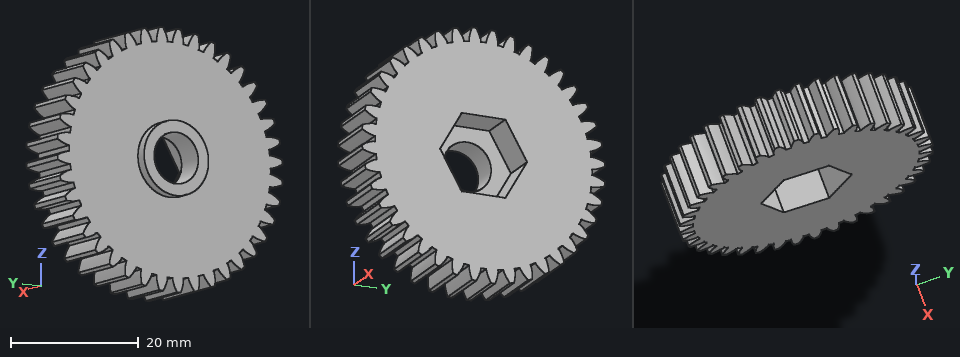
import cadquery as cq
import math

outer_size = 41.9
face_width = 9.0
hub_length = 1.8
hub_diameter = 12.0
bore_diameter = 8.17
hex_across_flats = 13.0
hex_floor_x = 3.0

tooth_count = 40
pressure_angle = math.radians(20.0)
addendum_factor = 1.0
dedendum_factor = 1.25
flank_points = 6

pitch_angle = 2 * math.pi / tooth_count


def involute(angle):
    return math.tan(angle) - angle


def tooth_half_angle(radius_ratio):
    """Half the angle a tooth spans at a radius given as a multiple of the pitch radius."""
    local_pressure_angle = math.acos(min(1.0, math.cos(pressure_angle) / radius_ratio))
    return pitch_angle / 4 + involute(pressure_angle) - involute(local_pressure_angle)


tip_ratio = 1 + 2 * addendum_factor / tooth_count
tip_half_angle = tooth_half_angle(tip_ratio)
tip_radius = outer_size / 2 / math.cos(pitch_angle / 2 - tip_half_angle)
pitch_radius = tip_radius / tip_ratio
module = 2 * pitch_radius / tooth_count
base_radius = pitch_radius * math.cos(pressure_angle)
root_radius = pitch_radius - dedendum_factor * module


def polar(radius, angle):
    return (radius * math.cos(angle), radius * math.sin(angle))


def flank(center_angle, side):
    """Involute points from base circle to tip; side is -1 or +1 about the tooth center."""
    points = []
    for i in range(flank_points):
        radius = base_radius + (tip_radius - base_radius) * (i / (flank_points - 1)) ** 2
        half_angle = tooth_half_angle(radius / pitch_radius)
        points.append(polar(radius, center_angle + side * half_angle))
    return points


def gear_outline():
    root_half_angle = tooth_half_angle(base_radius / pitch_radius)
    first_center = pitch_angle / 2
    outline = cq.Workplane("YZ").moveTo(*polar(root_radius, first_center - root_half_angle))
    for tooth in range(tooth_count):
        center = first_center + tooth * pitch_angle
        rising = flank(center, -1)
        falling = flank(center, 1)[::-1]
        next_root = center + pitch_angle - root_half_angle
        outline = (
            outline.lineTo(*rising[0])
            .spline(rising[1:], includeCurrent=True)
            .threePointArc(polar(tip_radius, center), falling[0])
            .spline(falling[1:], includeCurrent=True)
            .lineTo(*polar(root_radius, center + root_half_angle))
            .threePointArc(polar(root_radius, center + pitch_angle / 2), polar(root_radius, next_root))
        )
    return outline.close()


def gear_body():
    return gear_outline().extrude(face_width)


def hub():
    return cq.Workplane("YZ").circle(hub_diameter / 2).extrude(-hub_length)


def bore():
    start = cq.Workplane("YZ", origin=(-hub_length, 0, 0))
    return start.circle(bore_diameter / 2).extrude(hub_length + face_width)


def hex_pocket():
    across_corners = hex_across_flats / math.cos(math.pi / 6)
    floor = cq.Workplane("YZ", origin=(hex_floor_x, 0, 0))
    return floor.polygon(6, across_corners).extrude(face_width - hex_floor_x)


result = gear_body().union(hub()).cut(bore()).cut(hex_pocket())